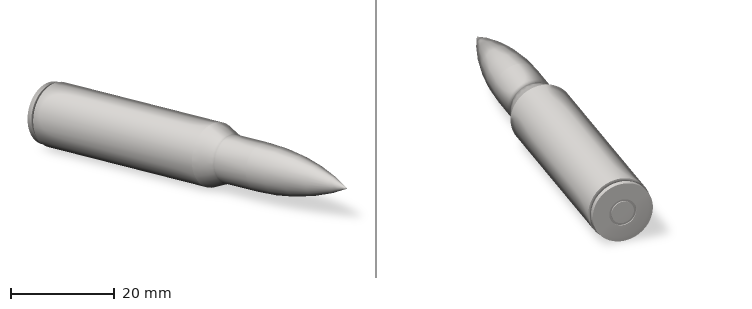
import cadquery as cq

total_length = 79.45
rim_thickness = 1.0
groove_width = 0.7
body_length = 42.35
shoulder_length = 4.3
neck_length = 8.6
tip_length = 3.8

rim_radius = 6.2
groove_radius = 4.7
body_radius = 6.4
neck_radius = 4.85
tip_radius = 1.6
base_ring_outer_radius = 2.8
base_ring_inner_radius = 2.3
base_ring_depth = 0.2

body_start = rim_thickness + groove_width
shoulder_start = body_start + body_length
neck_start = shoulder_start + shoulder_length
nose_start = neck_start + neck_length
tip_start = total_length - tip_length


def turned_body():
    """Stepped body revolved about X, with a curved nose tangent to the neck."""
    profile = (
        cq.Workplane("XY")
        .lineTo(0, rim_radius)
        .lineTo(rim_thickness, rim_radius)
        .lineTo(rim_thickness, groove_radius)
        .lineTo(body_start, groove_radius)
        .lineTo(body_start, body_radius)
        .lineTo(shoulder_start, body_radius)
        .lineTo(neck_start, neck_radius)
        .lineTo(nose_start, neck_radius)
        .tangentArcPoint((tip_start, tip_radius), relative=False)
        .lineTo(total_length, 0)
        .close()
    )
    return profile.revolve(360, (0, 0, 0), (1, 0, 0))


def base_ring_groove():
    """Shallow ring cut into the flat base face."""
    return (
        cq.Workplane("YZ")
        .circle(base_ring_outer_radius)
        .circle(base_ring_inner_radius)
        .extrude(base_ring_depth)
    )


result = turned_body().cut(base_ring_groove())